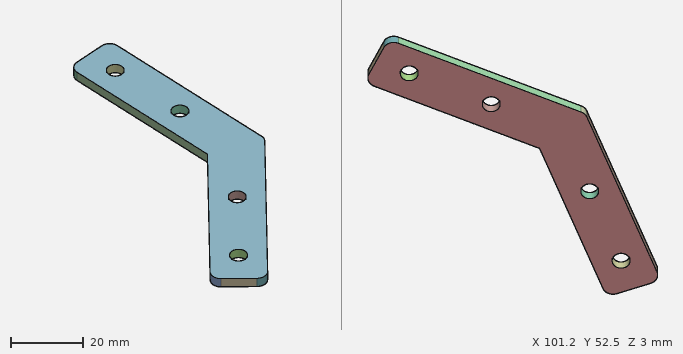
import cadquery as cq
import math

overall_length = 101.2
strip_width = 16.0
thickness = 3.0
corner_radius = 3.0
bend_angle = 45.0
hole_diameter = 5.0
hole_end_distance = 10.0
hole_pitch = 25.0

bend = math.radians(bend_angle)
leg_length = (
    overall_length - corner_radius + corner_radius * (math.cos(bend) + math.sin(bend))
) / (1 + math.cos(bend))
inner_leg_length = leg_length - strip_width * math.tan(bend / 2)


def straight_leg_point(distance, depth):
    """Point at a distance from the free end and a depth below the outer edge."""
    return (distance, strip_width - depth)


def sloping_leg_point(distance, depth):
    """The same location on the sloping leg, measured from its own free end."""
    along = leg_length - distance
    x = leg_length + along * math.cos(bend) - depth * math.sin(bend)
    y = strip_width - along * math.sin(bend) - depth * math.cos(bend)
    return (x, y)


outline = [
    straight_leg_point(0, strip_width),
    straight_leg_point(0, 0),
    straight_leg_point(leg_length, 0),
    sloping_leg_point(0, 0),
    sloping_leg_point(0, strip_width),
    straight_leg_point(inner_leg_length, strip_width),
]
plate = cq.Workplane("XY").polyline(outline).close().extrude(thickness)

inside_corner = cq.selectors.NearestToPointSelector((*outline[-1], thickness / 2))
outside_edges = cq.selectors.SubtractSelector(
    cq.selectors.ParallelDirSelector(cq.Vector(0, 0, 1)), inside_corner
)
plate = plate.edges(outside_edges).fillet(corner_radius)

hole_points = [
    leg_point(distance, strip_width / 2)
    for leg_point in (straight_leg_point, sloping_leg_point)
    for distance in (hole_end_distance, hole_end_distance + hole_pitch)
]
holes = cq.Workplane("XY").pushPoints(hole_points).circle(hole_diameter / 2).extrude(thickness)

result = plate.cut(holes)